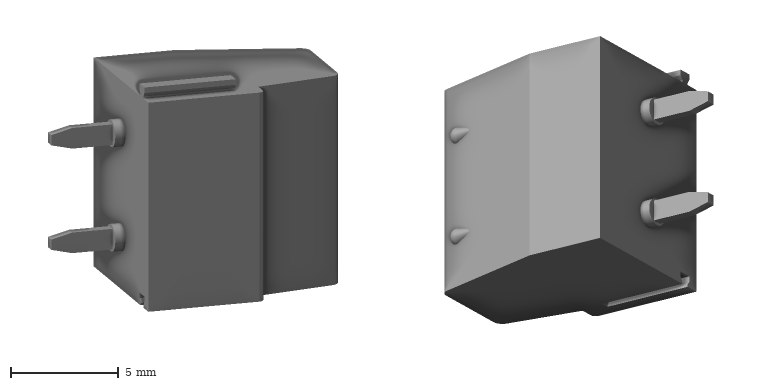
import cadquery as cq
import math

width = 8.1
pole_count = 2
pole_pitch = 5.08
body_height = pole_count * pole_pitch
body_depth = 9.99
overall_depth = 13.5
overall_height = 10.73
left_wall_depth = 3.95
crown_inset = 1.65
crown_radius = 0.5
shelf_depth = 5.74
shelf_width = 0.96
shelf_radius = 0.3

rail_height = overall_height - body_height
rail_length = 4.5
rail_head_width = 0.73
rail_neck_width = 0.45
rail_edge_gap = 0.58
rail_head_height = 0.27
rail_neck_height = 0.11

collar_diameter = 1.31
collar_length = 0.5
pin_thickness = 0.5
pin_height = 1.0
pin_tip_height = 0.5
pin_taper_length = 1.03
pin_reach = overall_depth - body_depth

nub_band_edge_radius = 0.42
nub_crest_radius = 0.45
nub_axis_sink = 0.19
nub_taper_length = 0.77
nub_band_length = 0.28
nub_cap_length = 0.25
nub_cap_middle_radius = 0.34
nub_tip_distance = 4.29

half_width = width / 2
pole_heights = [(i + 0.5) * pole_pitch for i in range(pole_count)]


def make_housing():
    outline = [
        (-half_width, 0),
        (half_width, 0),
        (half_width, shelf_depth),
        (half_width - shelf_width, shelf_depth),
        (half_width - crown_inset, body_depth),
        (-half_width + crown_inset, body_depth),
        (-half_width, left_wall_depth),
    ]
    housing = cq.Workplane("XY").polyline(outline).close().extrude(body_height)
    housing = housing.edges("|Z and >Y").fillet(crown_radius)
    shelf_corner = cq.selectors.NearestToPointSelector((half_width, shelf_depth, body_height / 2))
    return housing.edges("|Z").edges(shelf_corner).fillet(shelf_radius)


def make_rail(base_z):
    """Mushroom-shaped bar standing on base_z, running back from the pin side."""
    center_x = half_width - rail_edge_gap - rail_head_width / 2
    half_neck = rail_neck_width / 2
    half_head = rail_head_width / 2
    right_side = [
        (half_neck, 0),
        (half_neck, rail_neck_height),
        (half_head, rail_height - rail_head_height),
        (half_head, rail_height),
    ]
    left_side = [(-x, z) for x, z in reversed(right_side)]
    profile = cq.Workplane("XZ", origin=(center_x, 0, base_z)).polyline(right_side + left_side).close()
    return profile.extrude(-rail_length)


def make_pin(z):
    """Round collar and flat blade that narrows in Z towards its tip."""
    collar = cq.Workplane("XZ", origin=(0, 0, z)).circle(collar_diameter / 2).extrude(collar_length)
    half_blade = pin_height / 2
    half_tip = pin_tip_height / 2
    taper_start = -pin_reach + pin_taper_length
    blade_outline = [
        (0, -half_blade),
        (taper_start, -half_blade),
        (-pin_reach, -half_tip),
        (-pin_reach, half_tip),
        (taper_start, half_blade),
        (0, half_blade),
    ]
    blade = cq.Workplane("YZ", origin=(0, 0, z)).polyline(blade_outline).close()
    return collar.union(blade.extrude(pin_thickness / 2, both=True))


def make_nub(z):
    """Long cone, rounded band and domed cap turned about an axis parallel to the sloping wall."""
    slope_angle = math.atan2(crown_inset, body_depth - left_wall_depth)
    along_x = math.sin(slope_angle)
    along_y = math.cos(slope_angle)
    origin = (
        -half_width + nub_tip_distance * along_x + nub_axis_sink * along_y,
        left_wall_depth + nub_tip_distance * along_y - nub_axis_sink * along_x,
        z,
    )
    band_end = nub_taper_length + nub_band_length
    nub_end = band_end + nub_cap_length
    band_middle = nub_taper_length + nub_band_length / 2
    cap_middle = band_end + nub_cap_length / 2
    plane = cq.Plane(origin=origin, xDir=(along_y, -along_x, 0), normal=(0, 0, 1))
    half_profile = (
        cq.Workplane(plane)
        .lineTo(nub_axis_sink, 0)
        .lineTo(nub_band_edge_radius, nub_taper_length)
        .threePointArc((nub_crest_radius, band_middle), (nub_band_edge_radius, band_end))
        .threePointArc((nub_cap_middle_radius, cap_middle), (nub_axis_sink, nub_end))
        .lineTo(0, nub_end)
        .close()
    )
    return half_profile.revolve(360, (0, 0, 0), (0, 1, 0))


result = make_housing().union(make_rail(body_height)).cut(make_rail(0))
for pole_z in pole_heights:
    result = result.union(make_pin(pole_z)).union(make_nub(pole_z))